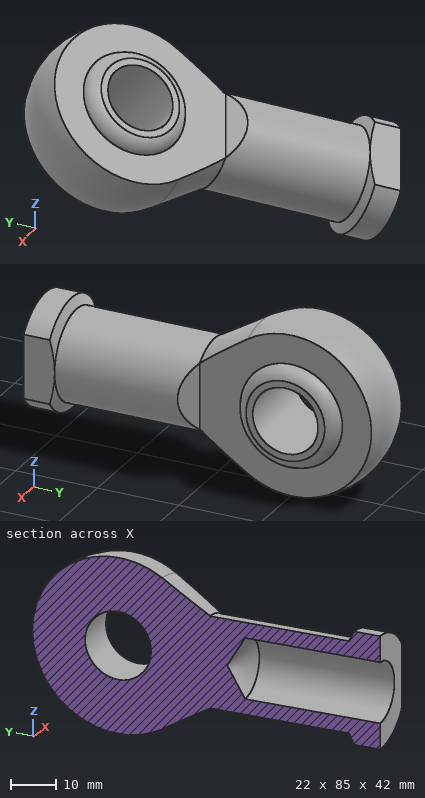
import cadquery as cq
import math


head_radius = 21.0
head_width = 15.0

shank_radius = 11.0
shank_end_y = -64.0
neck_y = -22.5
shoulder_length = 3.7

collar_radius = 13.5
collar_length = 7.65
collar_bevel_length = 1.2
collar_across_flats = 2 * shank_radius

thread_hole_diameter = 14.38
thread_hole_depth = 33.0
drill_point_angle = 118.0

ring_diameter = 25.0
ring_width = 21.0
ring_end_diameter = 19.3
ring_crown_radius = 4.0
ring_bore_diameter = 16.0


def make_head_and_shank():
    """Spherical head, cone tangent to it, and shank, revolved about Y."""
    neck_distance = math.hypot(shank_radius, neck_y)
    neck_angle = math.atan2(shank_radius, -neck_y)
    tangent_angle = neck_angle + math.acos(head_radius / neck_distance)
    tangent_point = (
        head_radius * math.sin(tangent_angle),
        -head_radius * math.cos(tangent_angle),
    )
    return (
        cq.Workplane("XY")
        .moveTo(0, shank_end_y)
        .lineTo(shank_radius, shank_end_y)
        .lineTo(shank_radius, neck_y)
        .lineTo(*tangent_point)
        .threePointArc((head_radius, 0), (0, head_radius))
        .close()
        .revolve(360, (0, 0), (0, 1))
    )


def cut_head_flats(body):
    """Trim the head to its width, with sloped shoulders down to the shank."""
    half_width = head_width / 2
    shoulder_y = neck_y - shoulder_length
    envelope = (
        cq.Workplane("XY")
        .polyline([
            (half_width, head_radius),
            (half_width, neck_y),
            (shank_radius, shoulder_y),
            (shank_radius, shank_end_y),
            (-shank_radius, shank_end_y),
            (-shank_radius, shoulder_y),
            (-half_width, neck_y),
            (-half_width, head_radius),
        ])
        .close()
        .extrude(head_radius, both=True)
    )
    return body.intersect(envelope)


def make_collar():
    """Round collar with a bevelled back edge and two wrench flats."""
    back_y = shank_end_y + collar_length
    blank = (
        cq.Workplane("XY")
        .polyline([
            (0, shank_end_y),
            (collar_radius, shank_end_y),
            (collar_radius, back_y - collar_bevel_length),
            (shank_radius, back_y),
            (0, back_y),
        ])
        .close()
        .revolve(360, (0, 0), (0, 1))
    )
    flats = cq.Workplane("XY").box(
        collar_across_flats, 2 * abs(shank_end_y), 2 * collar_radius
    )
    return blank.intersect(flats)


def make_thread_hole():
    """Blind drilled hole with a conical bottom, opening at the shank end."""
    radius = thread_hole_diameter / 2
    bottom_y = shank_end_y + thread_hole_depth
    tip_y = bottom_y + radius / math.tan(math.radians(drill_point_angle / 2))
    return (
        cq.Workplane("XY")
        .polyline([(0, shank_end_y), (radius, shank_end_y), (radius, bottom_y), (0, tip_y)])
        .close()
        .revolve(360, (0, 0), (0, 1))
    )


def make_inner_ring():
    """Ring about X whose crowned shoulders run from the head flats to its ends."""
    flat_x = head_width / 2
    end_x = ring_width / 2
    ring_radius = ring_diameter / 2
    end_radius = ring_end_diameter / 2
    bore_radius = ring_bore_diameter / 2
    return (
        cq.Workplane("XY")
        .moveTo(-end_x, bore_radius)
        .lineTo(-end_x, end_radius)
        .radiusArc((-flat_x, ring_radius), ring_crown_radius)
        .lineTo(flat_x, ring_radius)
        .radiusArc((end_x, end_radius), ring_crown_radius)
        .lineTo(end_x, bore_radius)
        .close()
        .revolve(360, (0, 0), (1, 0))
    )


def make_ring_bore():
    """Cylinder through the ring along X."""
    return cq.Workplane("YZ").circle(ring_bore_diameter / 2).extrude(ring_width, both=True)


body = cut_head_flats(make_head_and_shank())
body = body.union(make_collar())
body = body.cut(make_thread_hole()).cut(make_ring_bore())
result = body.union(make_inner_ring())